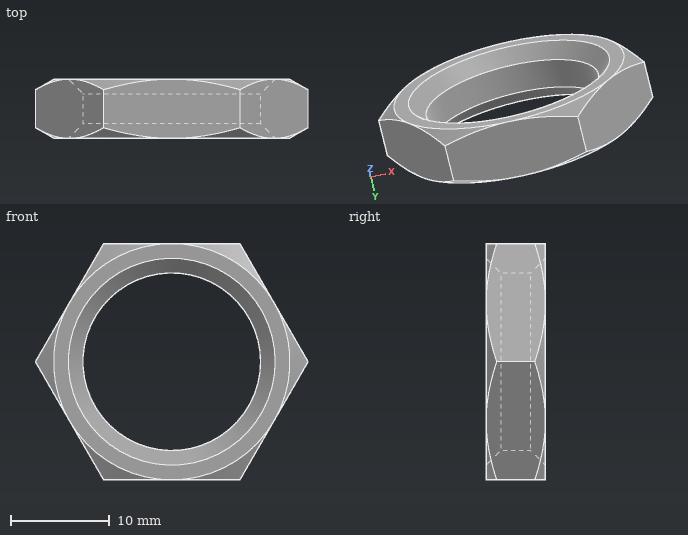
import cadquery as cq
import math

across_corners = 27.7
across_flats = across_corners * math.cos(math.radians(30))
thickness = 6.0
bore_diameter = 18.0
countersink_diameter = 21.0
countersink_depth = (countersink_diameter - bore_diameter) / 2
corner_chamfer_angle = 30.0

half_thickness = thickness / 2
corner_radius = across_corners / 2
flat_radius = across_flats / 2
bore_radius = bore_diameter / 2
countersink_radius = countersink_diameter / 2
chamfer_height = (corner_radius - flat_radius) * math.tan(math.radians(corner_chamfer_angle))


def revolve_about_y(profile_points):
    """Revolve a closed (radius, y) profile around the Y axis."""
    profile = cq.Workplane("XY").polyline(profile_points).close()
    return profile.revolve(360, (0, 0, 0), (0, 1, 0))


hexagon = cq.Workplane("XZ").polygon(6, across_corners).extrude(half_thickness, both=True)

bore_half_length = half_thickness - countersink_depth
corner_half_length = half_thickness - chamfer_height
ring = revolve_about_y([
    (bore_radius, -bore_half_length),
    (countersink_radius, -half_thickness),
    (flat_radius, -half_thickness),
    (corner_radius, -corner_half_length),
    (corner_radius, corner_half_length),
    (flat_radius, half_thickness),
    (countersink_radius, half_thickness),
    (bore_radius, bore_half_length),
])

result = hexagon.intersect(ring)